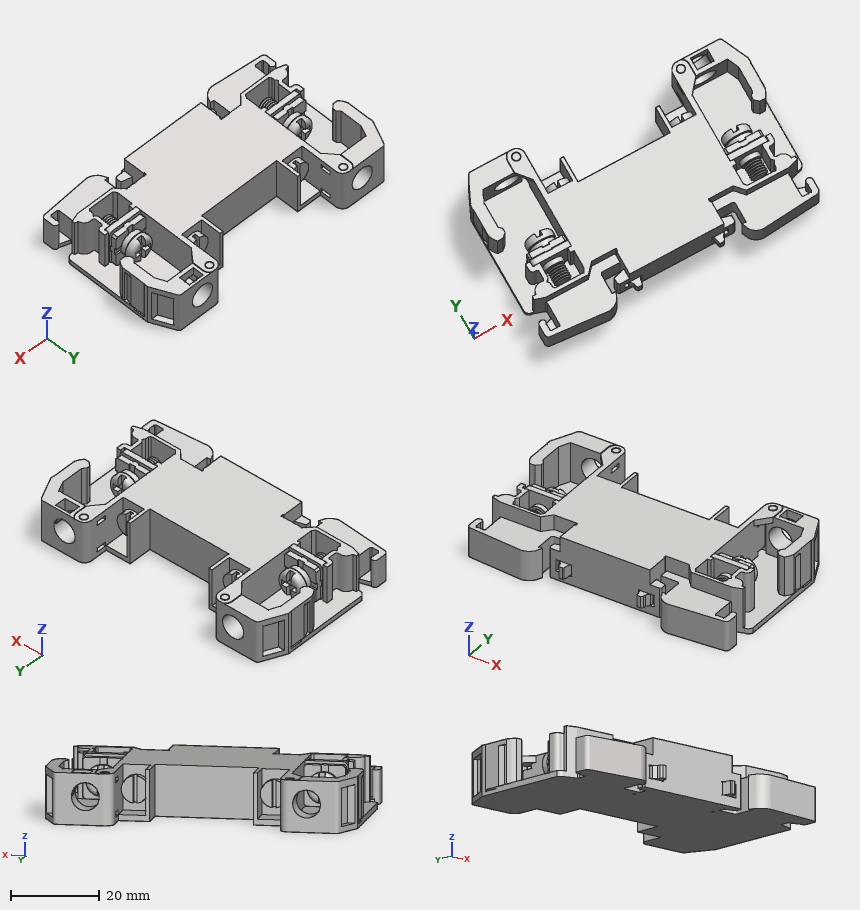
import cadquery as cq

HALF_LENGTH = 36.0
HEIGHT = 12.0
Y_BACK = 21.495
Y_FRONT = -21.495
FLOOR = 1.4
FOOT_HEIGHT = 8.0
OVERCUT = 2.0

WALL_OUTER_X = 19.2
WALL_INNER_X = 20.6
PIN_X = 21.35
PIN_Y = 19.57
PIN_RADIUS = 1.05
LUG_RADIUS = PIN_X - WALL_OUTER_X
LUG_THICKNESS = 1.6
LUG_DIAGONAL_Y = 12.97
SEAM = 0.1
SLOPE_TOP = (32.7, Y_BACK)
SLOPE_END = (HALF_LENGTH, 14.36)
ARM_INNER_X = 33.0
ARM_INNER_Y = 16.45
RELIEF_WIDTH = 0.95
RELIEF_Y = 17.4
ARM_SETBACK = 0.08
ARM_SETBACK_Y = 13.3
HOOK_Y = 6.3

BLOCK_HALF = 12.25
LEDGE_NOTCH_X = 12.0
BLOCK_BACK_Y = 7.6
BLOCK_FRONT_Y = -17.1
LEDGE_Y = -10.3
BASE_Y = -12.67
LATCH_Z = (2.35, 5.45)

EAR_X = 11.94
EAR_Y = SLOPE_END[1]
EAR_WALL = 0.93
POCKET_FRONT_Y = 8.5

AXIS_Z = 6.6
TERMINAL_X = 25.5

PLATE_END_X = 30.6
PLATE_BACK_Y = -3.3
PLATE_FRONT_Y = -4.88
PLATE_CORNER_RADIUS = 1.25
WASHER_SIZE = 9.6
WASHER_CORNER = 0.5
WASHER_BACK_Y = -1.5
WASHER_FRONT_Y = -3.0
RIB_WIDTH = 1.7
RIB_DEPTH = 0.45
SPRING_RADIUS = 3.3
SPRING_BACK_Y = 0.0
HEAD_RADIUS = 3.57
HEAD_BACK_Y = 2.4
HEAD_FRONT_Y = 0.15
HEAD_EDGE_RADIUS = 1.1
NECK_RADIUS = 3.1
SLOT_WIDTH = 1.45
SLOT_DEPTH = 1.3
CROSS_LENGTH = 4.5
COLLAR_RADIUS = 2.6
COLLAR_FRONT_Y = -6.15
THREAD_RADIUS = 2.15
THREAD_ROOT_RADIUS = 1.8
THREAD_END_Y = -10.0
THREAD_RIDGES = 6


def prism(points, z_low, z_high):
    """Straight-sided outline in the XY plane raised from z_low to z_high."""
    return cq.Workplane("XY").workplane(offset=z_low).polyline(points).close().extrude(z_high - z_low)


def block(x_range, y_range, z_range):
    """Box given by its low and high limits along X, Y and Z."""
    x_low, x_high = x_range
    y_low, y_high = y_range
    corners = [(x_low, y_low), (x_high, y_low), (x_high, y_high), (x_low, y_high)]
    return prism(corners, *z_range)


def post(x, y, radius, z_low, z_high):
    return cq.Workplane("XY").workplane(offset=z_low).center(x, y).circle(radius).extrude(z_high - z_low)


def y_cylinder(x, radius, y_back, y_front):
    """Cylinder along Y at the height of the screw axes."""
    plane = cq.Workplane("XZ", origin=(x, y_back, AXIS_Z))
    return plane.circle(radius).extrude(y_back - y_front)


def body_outline():
    """Full-height half outline, including the corner arm."""
    return (
        cq.Workplane("XY")
        .moveTo(0, BLOCK_BACK_Y)
        .lineTo(EAR_X, BLOCK_BACK_Y)
        .lineTo(EAR_X, EAR_Y)
        .lineTo(WALL_OUTER_X, EAR_Y)
        .lineTo(WALL_OUTER_X, Y_BACK - LUG_RADIUS)
        .radiusArc((PIN_X, Y_BACK), LUG_RADIUS)
        .lineTo(*SLOPE_TOP)
        .lineTo(*SLOPE_END)
        .lineTo(HALF_LENGTH, -10.6)
        .threePointArc((35.6, -11.3), (34.45, -11.75))
        .lineTo(31.55, BASE_Y)
        .lineTo(20.5, BASE_Y)
        .lineTo(18.35, LEDGE_Y)
        .lineTo(LEDGE_NOTCH_X, LEDGE_Y)
        .lineTo(LEDGE_NOTCH_X, LEDGE_Y - 0.6)
        .lineTo(BLOCK_HALF, LEDGE_Y - 0.6)
        .lineTo(BLOCK_HALF, BLOCK_FRONT_Y)
        .lineTo(0, BLOCK_FRONT_Y)
        .close()
        .extrude(HEIGHT)
        .edges(cq.selectors.NearestToPointSelector((*SLOPE_TOP, HEIGHT / 2)))
        .fillet(1.0)
    )


def wire_chamber():
    """Space behind the terminal, open to the outer side between the arm and the lower post."""
    return (
        cq.Workplane("XY")
        .workplane(offset=FLOOR)
        .moveTo(WALL_INNER_X, RELIEF_Y)
        .lineTo(WALL_INNER_X + RELIEF_WIDTH, RELIEF_Y)
        .lineTo(WALL_INNER_X + RELIEF_WIDTH, ARM_INNER_Y)
        .lineTo(31.7, ARM_INNER_Y)
        .lineTo(ARM_INNER_X, 13.55)
        .lineTo(ARM_INNER_X, HOOK_Y)
        .lineTo(HALF_LENGTH + OVERCUT, HOOK_Y)
        .lineTo(HALF_LENGTH + OVERCUT, BASE_Y)
        .lineTo(34.2, BASE_Y)
        .lineTo(34.1, -11.0)
        .lineTo(33.15, -10.9)
        .threePointArc((32.4, -9.5), (31.4, -8.98))
        .lineTo(30.35, -8.95)
        .radiusArc((29.9, -8.5), 0.45)
        .lineTo(29.9, -6.6)
        .radiusArc((30.35, -6.15), 0.45)
        .lineTo(30.7, -6.15)
        .radiusArc((31.8, -5.05), -1.1)
        .lineTo(31.8, -3.6)
        .lineTo(PLATE_END_X, -3.6)
        .lineTo(PLATE_END_X, PLATE_FRONT_Y)
        .lineTo(WALL_INNER_X, PLATE_FRONT_Y)
        .close()
        .extrude(HEIGHT)
    )


def thread_pocket():
    """Space for the collar and thread in front of the plate, beside a small plate shelf."""
    shelf_x = 21.55
    outline = [
        (shelf_x, PLATE_FRONT_Y), (28.8, PLATE_FRONT_Y), (28.8, -8.84), (29.5, -9.56), (29.0, -10.3),
        (29.0, -11.2), (28.6, -11.75), (21.2, -11.75), (WALL_INNER_X, -10.9),
        (WALL_INNER_X, COLLAR_FRONT_Y), (shelf_x, COLLAR_FRONT_Y),
    ]
    return prism(outline, FLOOR, HEIGHT)


def arm_hook():
    """Faceted bulge at the free end of the arm."""
    outer_x = HALF_LENGTH - ARM_SETBACK
    points = [(outer_x, 7.1), (outer_x, HOOK_Y), (35.4, 5.13), (34.7, 4.2), (33.3, 4.2), (32.2, 5.2),
              (32.2, 6.2), (ARM_INNER_X, 7.1)]
    return prism(points, FLOOR, HEIGHT)


def lug_gusset():
    """Corner of the lug, over the back end of the wire chamber."""
    lug_side_x = PIN_X + LUG_RADIUS
    points = [(WALL_INNER_X, LUG_DIAGONAL_Y), (lug_side_x, ARM_INNER_Y), (lug_side_x, RELIEF_Y),
              (WALL_INNER_X, RELIEF_Y)]
    return prism(points, HEIGHT - LUG_THICKNESS, HEIGHT)


def hinge_seams():
    """Fine grooves around the pin and between the lug and the arm."""
    z_low = HEIGHT - SEAM
    lug_side_x = PIN_X + LUG_RADIUS
    ring = post(PIN_X, PIN_Y, PIN_RADIUS, z_low, HEIGHT).cut(
        post(PIN_X, PIN_Y, PIN_RADIUS - SEAM, z_low, HEIGHT))
    arc_ring = post(PIN_X, PIN_Y, LUG_RADIUS + SEAM, z_low, HEIGHT).cut(
        post(PIN_X, PIN_Y, LUG_RADIUS, z_low, HEIGHT))
    arm_side = block((PIN_X, lug_side_x + SEAM), (PIN_Y, Y_BACK), (z_low, HEIGHT))
    straight = block((lug_side_x, lug_side_x + SEAM), (ARM_INNER_Y, PIN_Y), (z_low, HEIGHT))
    return ring.union(arc_ring.intersect(arm_side)).union(straight)


def slope_recess():
    """Pocket in the sloped outer face of the arm, its back parallel to that face up to a bend."""
    depth = 1.8
    y_bend = 18.9
    y_high = 20.1
    y_low = 15.3
    slope = (SLOPE_END[0] - SLOPE_TOP[0]) / (SLOPE_TOP[1] - SLOPE_END[1])
    face_high = SLOPE_TOP[0] + slope * (Y_BACK - y_high)
    face_low = SLOPE_TOP[0] + slope * (Y_BACK - y_low)
    bend_x = SLOPE_TOP[0] + slope * (Y_BACK - y_bend) - depth
    points = [(bend_x, y_bend), (bend_x, y_high), (face_high + OVERCUT, y_high),
              (face_low + OVERCUT, y_low), (face_low - depth, y_low)]
    return prism(points, FLOOR, 10.3)


def arm_side_cuts():
    """Set-back of the arm from the floor edge, its ramped grip notch and the gap underneath."""
    outer = HALF_LENGTH + OVERCUT
    setback = block((HALF_LENGTH - ARM_SETBACK, outer), (HOOK_Y, ARM_SETBACK_Y), (FLOOR, HEIGHT))
    ramp = [(HALF_LENGTH, 9.2), (HALF_LENGTH, 6.9), (HALF_LENGTH - 0.8, 6.9)]
    notch = prism(ramp, FLOOR, 10.85)
    gap = block((HALF_LENGTH - 1.5, outer), (10.0, ARM_SETBACK_Y), (FLOOR - 0.45, FLOOR))
    return setback.union(notch).union(gap)


def screw_pocket():
    """Pocket beside the lug wall, open to the back and the top."""
    return block((EAR_X + EAR_WALL, WALL_OUTER_X), (POCKET_FRONT_Y, EAR_Y + OVERCUT),
                 (FLOOR, HEIGHT))


def hinge_slots():
    """Clearance slots through the wall, at the floor and right under the lug."""
    slot_height = 1.1
    slots = cq.Workplane("XY")
    for z_low in (FLOOR, HEIGHT - LUG_THICKNESS - slot_height):
        slots = slots.union(block((WALL_OUTER_X - OVERCUT, WALL_INNER_X), (14.6, RELIEF_Y),
                                  (z_low, z_low + slot_height)))
    return slots


def upper_screw_head():
    """Slotted round head that stands on the front wall of the upper pocket."""
    x_centre = (EAR_X + EAR_WALL + WALL_OUTER_X) / 2
    radius = (WALL_OUTER_X - EAR_X - EAR_WALL) / 2
    head_back_y = POCKET_FRONT_Y + 2.1
    slot_width = 0.9
    slot_depth = 1.45
    head = y_cylinder(x_centre, radius, head_back_y, POCKET_FRONT_Y)
    slot = block((x_centre - slot_width / 2, x_centre + slot_width / 2),
                 (head_back_y - slot_depth, head_back_y), (0, HEIGHT))
    inside = block((0, HALF_LENGTH), (0, Y_BACK), (FLOOR, HEIGHT))
    return head.cut(slot).intersect(inside)


def rail_foot():
    """Foot with a spring hook on its outer side and a catch for the rail on its inner side."""
    wall_x = 31.34
    hook_inner_x = 33.9
    hook_outer_x = 35.5
    foot = (
        cq.Workplane("XY")
        .moveTo(BLOCK_HALF, LEDGE_Y)
        .lineTo(BLOCK_HALF, BASE_Y)
        .lineTo(16.75, BASE_Y)
        .radiusArc((17.35, BASE_Y - 0.6), 0.6)
        .lineTo(17.35, -18.15)
        .lineTo(16.3, -18.15)
        .lineTo(17.1, -19.9)
        .threePointArc((18.35, -21.0), (19.96, Y_FRONT))
        .lineTo(34.6, -20.27)
        .radiusArc((hook_outer_x, -19.3), -1.0)
        .lineTo(hook_outer_x, -16.7)
        .threePointArc((34.7, -15.9), (hook_inner_x - 0.2, -16.6))
        .lineTo(hook_inner_x, -17.2)
        .lineTo(hook_inner_x, -18.9)
        .lineTo(hook_inner_x - 0.25, -19.15)
        .lineTo(wall_x + 0.25, -19.15)
        .lineTo(wall_x, -18.9)
        .lineTo(wall_x, -13.2)
        .lineTo(31.55, BASE_Y)
        .lineTo(20.5, BASE_Y)
        .lineTo(18.35, LEDGE_Y)
        .close()
        .extrude(FOOT_HEIGHT)
    )
    web = prism([(wall_x, -14.95), (34.5, -16.0), (34.5, -19.5), (wall_x, -19.5)], 0, 1.2)
    return foot.union(web)


def rail_tab():
    """Tab on the side of the main block, facing the catch of the foot."""
    tip_x = 15.24
    points = [(BLOCK_HALF, -14.4), (tip_x, -15.2), (tip_x, -16.7), (tip_x - 0.45, BLOCK_FRONT_Y),
              (BLOCK_HALF, BLOCK_FRONT_Y)]
    return prism(points, 0, FOOT_HEIGHT)


def latch_window():
    return block((9.1, 13.4), (BLOCK_FRONT_Y, BLOCK_FRONT_Y + 1.0), LATCH_Z)


def latch():
    """Tapered nose that stands out of the latch window."""
    points = [(9.56, BLOCK_FRONT_Y + 1.0), (9.56, BLOCK_FRONT_Y), (9.95, -18.9), (10.15, -19.15),
              (11.1, -19.15), (11.55, -18.6), (11.6, -17.9), (12.4, BLOCK_FRONT_Y),
              (12.4, BLOCK_FRONT_Y + 1.0)]
    return prism(points, *LATCH_Z)


def driver_bore():
    """Screwdriver passage through the back of the arm, in line with the terminal screw."""
    return y_cylinder(TERMINAL_X, 3.2, Y_BACK, ARM_INNER_Y)


def half_housing():
    half = body_outline().cut(wire_chamber()).cut(thread_pocket())
    half = half.union(lug_gusset()).cut(driver_bore()).cut(slope_recess())
    half = half.union(arm_hook()).cut(arm_side_cuts())
    half = half.cut(screw_pocket()).cut(hinge_slots()).union(upper_screw_head())
    half = half.union(rail_foot()).union(rail_tab())
    half = half.cut(latch_window()).union(latch())
    return half.cut(hinge_seams())


def arm_label_window():
    """Opening in the top of the +X arm, down into the driver bore."""
    return block((24.5, 28.85), (17.56, 20.7), (AXIS_Z, HEIGHT))


def terminal_plate():
    """Clamping plate that fills its slot between the wall and the lower post."""
    plate = block((WALL_INNER_X, PLATE_END_X), (PLATE_FRONT_Y, PLATE_BACK_Y), (FLOOR, HEIGHT))
    return plate.edges("|Y and >X").fillet(PLATE_CORNER_RADIUS)


def square_washer():
    """Square washer with cut corners and two crossed ribs pressed toward the plate."""
    washer = (
        cq.Workplane("XZ", origin=(TERMINAL_X, WASHER_BACK_Y, AXIS_Z))
        .rect(WASHER_SIZE, WASHER_SIZE)
        .extrude(WASHER_BACK_Y - WASHER_FRONT_Y)
        .edges("|Y")
        .chamfer(WASHER_CORNER)
    )
    for size in ((RIB_WIDTH, WASHER_SIZE), (WASHER_SIZE, RIB_WIDTH)):
        groove = (
            cq.Workplane("XZ", origin=(TERMINAL_X, WASHER_BACK_Y, AXIS_Z))
            .rect(*size)
            .extrude(RIB_DEPTH)
        )
        rib = (
            cq.Workplane("XZ", origin=(TERMINAL_X, WASHER_FRONT_Y, AXIS_Z))
            .rect(*size)
            .extrude(WASHER_FRONT_Y - PLATE_BACK_Y)
        )
        washer = washer.cut(groove).union(rib)
    return washer


def screw_head():
    """Round head with a full slot along Z and a shorter cross slot along X."""
    head = y_cylinder(TERMINAL_X, HEAD_RADIUS, HEAD_BACK_Y, HEAD_FRONT_Y)
    head = head.faces(">Y").edges().fillet(HEAD_EDGE_RADIUS)
    for size in ((SLOT_WIDTH, 2 * HEAD_RADIUS), (CROSS_LENGTH, SLOT_WIDTH)):
        slot = cq.Workplane("XZ", origin=(TERMINAL_X, HEAD_BACK_Y, AXIS_Z)).rect(*size).extrude(SLOT_DEPTH)
        head = head.cut(slot)
    return head


def screw_shank():
    """Spring washer, collar and ridged shank, turned about the screw axis."""
    pitch = (COLLAR_FRONT_Y - THREAD_END_Y) / THREAD_RIDGES
    profile = [(0, HEAD_FRONT_Y), (NECK_RADIUS, HEAD_FRONT_Y), (NECK_RADIUS, SPRING_BACK_Y),
               (SPRING_RADIUS, SPRING_BACK_Y), (SPRING_RADIUS, WASHER_BACK_Y),
               (COLLAR_RADIUS, WASHER_BACK_Y), (COLLAR_RADIUS, COLLAR_FRONT_Y),
               (THREAD_ROOT_RADIUS, COLLAR_FRONT_Y)]
    for ridge in range(THREAD_RIDGES):
        ridge_y = COLLAR_FRONT_Y - ridge * pitch
        profile.append((THREAD_RADIUS, ridge_y - pitch / 2))
        profile.append((THREAD_ROOT_RADIUS, ridge_y - pitch))
    profile.append((0, THREAD_END_Y))
    plane = cq.Workplane("XY", origin=(TERMINAL_X, 0, AXIS_Z))
    return plane.polyline(profile).close().revolve(360, (0, 0, 0), (0, 1, 0))


def screw_terminal():
    """One terminal: plate, washers and screw as a single solid."""
    return terminal_plate().union(square_washer()).union(screw_shank()).union(screw_head())


right_half = half_housing()
housing = right_half.union(right_half.mirror("YZ")).cut(arm_label_window())

terminal = screw_terminal()
terminals = [terminal, terminal.mirror("YZ")]

result = cq.Compound.makeCompound([
    housing.solids().val(),
    *[body.solids().val() for body in terminals],
])